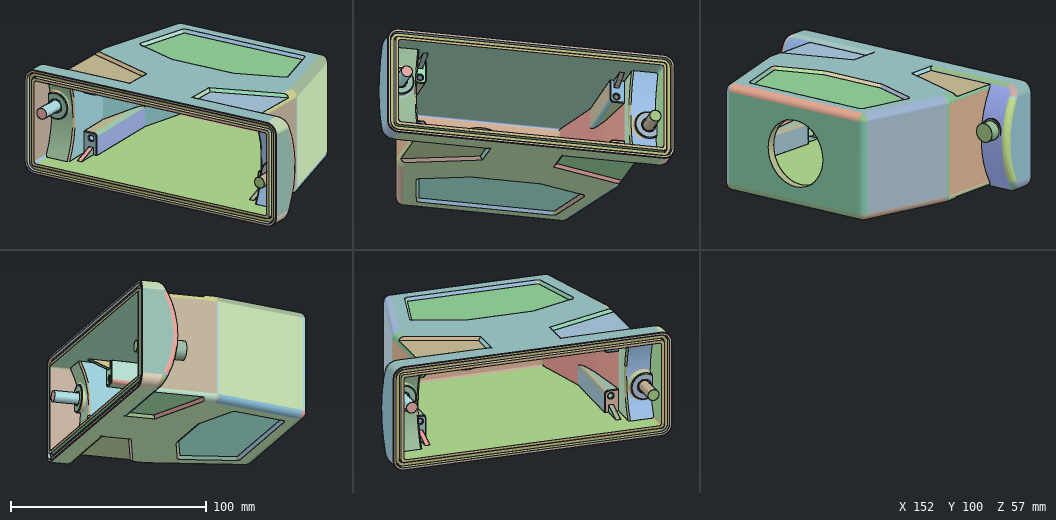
import cadquery as cq
import math

FLANGE_LENGTH = 152.0
HOOD_DEPTH = 100.0
HEIGHT = 57.0
HALF_LENGTH = FLANGE_LENGTH / 2
HALF_HEIGHT = HEIGHT / 2

SELECT_MARGIN = 0.8

FLANGE_CORNER_RADIUS = 6.0
FLANGE_CROWN_Y = 20.4
FLANGE_CROWN_RADIUS = 48.6
FLANGE_EDGE_FILLET = 3.0
RIM_CHAMFER = 0.3

HOOD_HALF_LENGTH = 59.3
HOOD_SHOULDER_Y = 47.1
TAPER = math.tan(math.radians(15))
HOOD_EDGE_FILLET = 3.8
SHOULDER_FILLET = 4.5

RIM_WALL = 5.8
CAVITY_CORNER_RADIUS = 1.4
CAVITY_HALF_MOUTH = HALF_LENGTH - RIM_WALL
CAVITY_HALF_HEIGHT = HALF_HEIGHT - RIM_WALL
CAVITY_DRAFT = 0.9
CROWN_WALL = 4.0
CAVITY_HALF_LENGTH = 56.2
CAVITY_SHOULDER_Y = 44.1
BACK_WALL = 4.5
CAVITY_BACK_Y = HOOD_DEPTH - BACK_WALL
CAVITY_BACK_LEFT_X = -42.5
CAVITY_BACK_RIGHT_X = 40.6
RIGHT_STEP_X = 52.6
CAVITY_EDGE_FILLET = 0.9

CABLE_HOLE_DIAMETER = 35.5
CABLE_HOLE_X = (CAVITY_BACK_LEFT_X + CAVITY_BACK_RIGHT_X) / 2

GROOVE_OUTER_INSET = 1.5
GROOVE_INNER_INSET = 4.3
GROOVE_DEPTH = 4.0
GASKET_CLEARANCE = 0.5
GASKET_RECESS = 1.5

RECESS_DEPTH = 1.7
RECESS_WALL_ANGLE = 40.0
RECESS_SLOPE = math.tan(math.radians(20))
CORNER_RECESS_INNER_X = 18.8
CORNER_RECESS_INNER_Y = 26.5
LABEL_TOP_Y = 90.9
LABEL_BOTTOM_Y = 50.6
LABEL_BOTTOM_HALF_LENGTH = 18.5
LABEL_HALF_LENGTH = 45.0
LABEL_CORNER_RADIUS = 2.3

LUG_FRONT_Y = 25.8
LUG_INNER_X = 48.6
LUG_INNER_Z = 10.3
LUG_BACK_INNER_Z = 8.5
LUG_CORNER_RADIUS = 2.0
LUG_CHAMFER = 0.5
LUG_HOLE_X = 52.0
LUG_HOLE_Z = 13.5
LUG_HOLE_DIAMETER = 2.7
LUG_HOLE_CHAMFER = 0.5
LUG_HOLE_DEPTH = 18.2
GUSSET_THICKNESS = 2.6
GUSSET_HEIGHT = 4.4
GUSSET_FRONT_Y = 14.0

PIN_X = 65.8
PIN_Z = 5.5
PIN_DIAMETER = 6.0
PIN_TIP_Y = 0.2
PIN_HEAD_DIAMETER = 10.0
PIN_HEAD_Y = 26.1
PIN_PAD_DIAMETER = 12.0
PIN_PAD_Y = 20.2
COLLAR_DIAMETER = 14.6
COLLAR_FRONT_Y = 13.2
COLLAR_CHAMFER = 0.5
COLLAR_BASE_FILLET = 0.9
COLLAR_RECESS_DIAMETER = 7.5
COLLAR_RECESS_DEPTH = 0.8


def facing_back(y):
    """Workplane at depth y whose normal is +Y and whose local axes are X and -Z."""
    return cq.Workplane("XZ", origin=(0, y, 0)).transformed(rotate=(180, 0, 0))


def cylinder(x, z, diameter, y_start, y_end):
    return facing_back(y_start).center(x, -z).circle(diameter / 2).extrude(y_end - y_start)


def cone(x, z, diameters, depths):
    """Frustum along +Y between two depths, with the diameter at each of them."""
    length = depths[1] - depths[0]
    solid = cq.Solid.makeCone(
        diameters[0] / 2, diameters[1] / 2, length, cq.Vector(x, depths[0], z), cq.Vector(0, 1, 0)
    )
    return cq.Workplane("XY").newObject([solid])


def rim_block(inset, corner_radius, depth):
    """Rounded block from the rim plane, its outline inset from the flange outline."""
    block = facing_back(0).rect(FLANGE_LENGTH - 2 * inset, HEIGHT - 2 * inset).extrude(depth)
    return block.edges("|Y").fillet(corner_radius)


def crown_block(crown_y):
    """Block between the rim plane and a cylindrical crown, full flange length."""
    edge_y = crown_y - FLANGE_CROWN_RADIUS + math.sqrt(FLANGE_CROWN_RADIUS**2 - HALF_HEIGHT**2)
    return (
        cq.Workplane("YZ", origin=(-HALF_LENGTH, 0, 0))
        .moveTo(0, -HALF_HEIGHT)
        .lineTo(edge_y, -HALF_HEIGHT)
        .threePointArc((crown_y, 0), (edge_y, HALF_HEIGHT))
        .lineTo(0, HALF_HEIGHT)
        .close()
        .extrude(FLANGE_LENGTH)
    )


def on_both_faces(cutter):
    return cutter.union(cutter.mirror("XY"))


def on_both_ends(shape):
    return shape.union(shape.mirror("YZ"))


def flange():
    outline = rim_block(0, FLANGE_CORNER_RADIUS, HOOD_DEPTH)
    shape = outline.intersect(crown_block(FLANGE_CROWN_Y))
    shape = shape.faces(">Y").edges().fillet(FLANGE_EDGE_FILLET)
    return shape.faces("<Y").edges().chamfer(RIM_CHAMFER)


def hood():
    back_half_length = HOOD_HALF_LENGTH - TAPER * (HOOD_DEPTH - HOOD_SHOULDER_Y)
    shape = (
        cq.Workplane("XY", origin=(0, 0, -HALF_HEIGHT))
        .polyline(
            [
                (-HOOD_HALF_LENGTH, RIM_CHAMFER),
                (HOOD_HALF_LENGTH, RIM_CHAMFER),
                (HOOD_HALF_LENGTH, HOOD_SHOULDER_Y),
                (back_half_length, HOOD_DEPTH),
                (-back_half_length, HOOD_DEPTH),
                (-HOOD_HALF_LENGTH, HOOD_SHOULDER_Y),
            ]
        )
        .close()
        .extrude(HEIGHT)
    )
    shoulders = cq.selectors.BoxSelector(
        (-HALF_LENGTH, HOOD_SHOULDER_Y - SELECT_MARGIN, -HALF_HEIGHT),
        (HALF_LENGTH, HOOD_SHOULDER_Y + SELECT_MARGIN, HALF_HEIGHT),
    )
    shape = shape.edges("|Z").edges(shoulders).fillet(SHOULDER_FILLET)
    shape = shape.edges("|Z and >Y").fillet(HOOD_EDGE_FILLET)
    shape = shape.faces(">Z or <Z").edges("not <Y").fillet(HOOD_EDGE_FILLET)
    return shape


def recess(points, corner_radius=0):
    """Recess in the +Z face with walls sloping in towards its floor."""
    sketch = cq.Sketch().polygon(points + points[:1])
    if corner_radius:
        sketch = sketch.vertices().fillet(corner_radius)
    return (
        cq.Workplane("XY", origin=(0, 0, HALF_HEIGHT))
        .placeSketch(sketch)
        .extrude(-RECESS_DEPTH, taper=RECESS_WALL_ANGLE)
    )


def corner_recesses():
    outer_x = HALF_LENGTH
    outer_y = CORNER_RECESS_INNER_Y + RECESS_SLOPE * (outer_x - CORNER_RECESS_INNER_X)
    right = recess(
        [
            (CORNER_RECESS_INNER_X, 0),
            (outer_x, 0),
            (outer_x, outer_y),
            (CORNER_RECESS_INNER_X, CORNER_RECESS_INNER_Y),
        ]
    )
    return on_both_faces(on_both_ends(right))


def label_recesses():
    side_y = LABEL_BOTTOM_Y + RECESS_SLOPE * (LABEL_HALF_LENGTH - LABEL_BOTTOM_HALF_LENGTH)
    top_half_length = LABEL_HALF_LENGTH - TAPER * (LABEL_TOP_Y - side_y)
    right_side = [
        (LABEL_BOTTOM_HALF_LENGTH, LABEL_BOTTOM_Y),
        (LABEL_HALF_LENGTH, side_y),
        (top_half_length, LABEL_TOP_Y),
    ]
    left_side = [(-x, y) for x, y in reversed(right_side)]
    return on_both_faces(recess(right_side + left_side, LABEL_CORNER_RADIUS))


def add_collar(space, x, z):
    """Leave a collar standing in the space around a pin, blended into the flange crown."""
    collar = cylinder(x, z, COLLAR_DIAMETER, COLLAR_FRONT_Y, FLANGE_CROWN_Y)
    collar = collar.faces("<Y").edges().chamfer(COLLAR_CHAMFER)
    space = space.cut(collar)
    base = cq.selectors.BoxSelector(
        (x - COLLAR_DIAMETER / 2, COLLAR_FRONT_Y + 2 * COLLAR_CHAMFER, z - COLLAR_DIAMETER / 2),
        (x + COLLAR_DIAMETER / 2, FLANGE_CROWN_Y, z + COLLAR_DIAMETER / 2),
    )
    space = space.edges("not |Y").edges(base).fillet(COLLAR_BASE_FILLET)
    recess_end = COLLAR_FRONT_Y + COLLAR_RECESS_DEPTH
    return space.union(cylinder(x, z, COLLAR_RECESS_DIAMETER, COLLAR_FRONT_Y, recess_end))


def flange_cavity():
    outline = (
        cq.Sketch()
        .rect(2 * CAVITY_HALF_MOUTH, 2 * CAVITY_HALF_HEIGHT)
        .vertices()
        .fillet(CAVITY_CORNER_RADIUS)
    )
    opening = facing_back(0).placeSketch(outline).extrude(FLANGE_CROWN_Y, taper=CAVITY_DRAFT)
    space = crown_block(FLANGE_CROWN_Y - CROWN_WALL)
    for side in (-1, 1):
        space = add_collar(space, side * PIN_X, -side * PIN_Z)
    return opening.intersect(space)


def hood_cavity():
    step_y = CAVITY_BACK_Y - (RIGHT_STEP_X - CAVITY_BACK_RIGHT_X) / TAPER
    plan = (
        cq.Workplane("XY", origin=(0, 0, -HALF_HEIGHT))
        .polyline(
            [
                (-CAVITY_HALF_LENGTH, 0),
                (CAVITY_HALF_LENGTH, 0),
                (CAVITY_HALF_LENGTH, LUG_FRONT_Y),
                (RIGHT_STEP_X, step_y),
                (CAVITY_BACK_RIGHT_X, CAVITY_BACK_Y),
                (CAVITY_BACK_LEFT_X, CAVITY_BACK_Y),
                (-CAVITY_HALF_LENGTH, CAVITY_SHOULDER_Y),
            ]
        )
        .close()
        .extrude(HEIGHT)
    )
    back_half_height = CAVITY_HALF_HEIGHT - CAVITY_BACK_Y * math.tan(math.radians(CAVITY_DRAFT))
    drafted_side = (
        cq.Workplane("YZ", origin=(-HALF_LENGTH, 0, 0))
        .polyline(
            [
                (0, -CAVITY_HALF_HEIGHT),
                (CAVITY_BACK_Y, -back_half_height),
                (CAVITY_BACK_Y, back_half_height),
                (0, CAVITY_HALF_HEIGHT),
            ]
        )
        .close()
        .extrude(FLANGE_LENGTH)
    )
    return plan.intersect(drafted_side).faces(">Y").edges().fillet(CAVITY_EDGE_FILLET)


def cavity():
    """Whole inside space, with the edges rounded where the hood meets the flange ends."""
    shape = hood_cavity().union(flange_cavity())
    for side in (-1, 1):
        near_wall = cq.selectors.BoxSelector(
            (side * (CAVITY_HALF_LENGTH - SELECT_MARGIN), COLLAR_FRONT_Y, -SELECT_MARGIN),
            (side * (CAVITY_HALF_LENGTH + SELECT_MARGIN), FLANGE_CROWN_Y, SELECT_MARGIN),
        )
        shape = shape.edges("not |Y").edges(near_wall).fillet(CAVITY_EDGE_FILLET)
    return shape


def lug_outline(inner_z):
    """Lug section reaching into the walls, rounded at the corner that faces the cavity."""
    width = HOOD_HALF_LENGTH - LUG_INNER_X
    height = HALF_HEIGHT - inner_z
    return (
        cq.Sketch()
        .push([(LUG_INNER_X + width / 2, -inner_z - height / 2)])
        .rect(width, height)
        .reset()
        .vertices("<X and >Y")
        .fillet(LUG_CORNER_RADIUS)
    )


def screw_lugs():
    """Four drafted lugs in the cavity corners, each with a screw hole and a gusset."""
    length = HOOD_DEPTH - LUG_FRONT_Y
    back_outline = lug_outline(LUG_BACK_INNER_Z).moved(cq.Location(cq.Vector(0, 0, length)))
    lug = facing_back(LUG_FRONT_Y).placeSketch(lug_outline(LUG_INNER_Z), back_outline).loft()
    lug = lug.faces("<Y").edges().chamfer(LUG_CHAMFER)
    hole = cylinder(LUG_HOLE_X, LUG_HOLE_Z, LUG_HOLE_DIAMETER, LUG_FRONT_Y, LUG_FRONT_Y + LUG_HOLE_DEPTH)
    hole = hole.union(
        cone(
            LUG_HOLE_X,
            LUG_HOLE_Z,
            (LUG_HOLE_DIAMETER + 2 * LUG_HOLE_CHAMFER, LUG_HOLE_DIAMETER),
            (LUG_FRONT_Y, LUG_FRONT_Y + LUG_HOLE_CHAMFER),
        )
    )
    lug = lug.cut(hole)
    gusset = (
        cq.Workplane("YZ", origin=(LUG_HOLE_X - GUSSET_THICKNESS / 2, 0, 0))
        .polyline(
            [
                (GUSSET_FRONT_Y, HALF_HEIGHT),
                (GUSSET_FRONT_Y, CAVITY_HALF_HEIGHT),
                (LUG_FRONT_Y, CAVITY_HALF_HEIGHT - GUSSET_HEIGHT),
                (LUG_FRONT_Y, HALF_HEIGHT),
            ]
        )
        .close()
        .extrude(GUSSET_THICKNESS)
    )
    return on_both_faces(on_both_ends(lug.union(gusset)))


def groove_ring(clearance, depth):
    """Ring from the rim plane that follows the groove, narrowed on each side by the clearance."""
    outer_inset = GROOVE_OUTER_INSET + clearance
    inner_inset = GROOVE_INNER_INSET - clearance
    outer = rim_block(outer_inset, FLANGE_CORNER_RADIUS - outer_inset, depth)
    return outer.cut(rim_block(inner_inset, FLANGE_CORNER_RADIUS - inner_inset, depth))


def guide_pin(x, z):
    """Pin with its shank inside the flange and its pad and head outside."""
    crown_y = FLANGE_CROWN_Y - CROWN_WALL
    pad = cylinder(x, z, PIN_PAD_DIAMETER, crown_y, PIN_PAD_Y)
    head = cylinder(x, z, PIN_HEAD_DIAMETER, PIN_PAD_Y, PIN_HEAD_Y)
    shank = cylinder(x, z, PIN_DIAMETER, PIN_TIP_Y, PIN_PAD_Y)
    return pad.union(head).union(shank)


def make_housing():
    outside = hood().cut(corner_recesses()).cut(label_recesses()).union(flange())
    inside = cavity().cut(screw_lugs())
    body = outside.cut(inside).cut(groove_ring(0, GROOVE_DEPTH))
    body = body.cut(cylinder(CABLE_HOLE_X, 0, CABLE_HOLE_DIAMETER, CAVITY_BACK_Y, HOOD_DEPTH))
    for side in (-1, 1):
        body = body.union(guide_pin(side * PIN_X, -side * PIN_Z))
    return body


def make_gasket():
    ring = groove_ring(GASKET_CLEARANCE, GROOVE_DEPTH - GASKET_RECESS)
    return ring.translate((0, GASKET_RECESS, 0))


housing = make_housing()
gasket = make_gasket()

result = cq.Compound.makeCompound([housing.val(), gasket.val()])